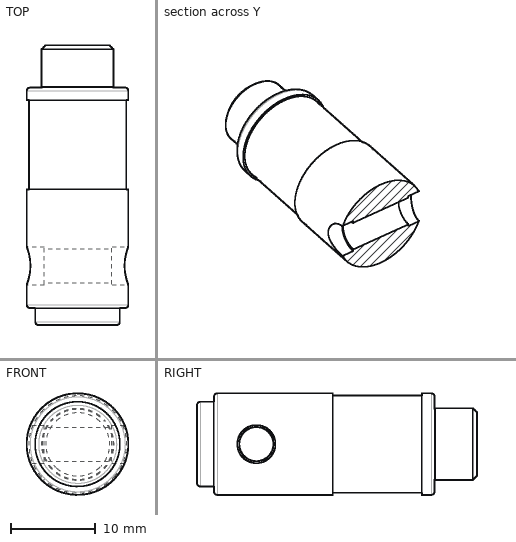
import cadquery as cq

land_diameter = 12.0
waist_diameter = 11.5
nose_diameter = 10.0
pin_diameter = 8.5

nose_length = 2.0
land_length = 14.0
waist_length = 10.5
flange_length = 1.5
pin_length = 5.0

rim_radius = 0.4
pin_tip_chamfer = 0.5
pin_seat_chamfer = 0.1

cross_hole_diameter = 4.0
counterbore_diameter = 4.5
counterbore_floor_offset = 4.0
cross_hole_setback = 5.0

land_start = nose_length
land_end = land_start + land_length
waist_end = land_end + waist_length
holder_end = waist_end + flange_length
pin_end = holder_end + pin_length
cross_hole_y = land_start + cross_hole_setback


def cylinder_y(diameter, start, end):
    """Solid cylinder on the Y axis between two stations."""
    return cq.Workplane("XZ", origin=(0, start, 0)).circle(diameter / 2).extrude(start - end)


def cross_cutter(diameter, start, end):
    """Cylinder parallel to X, on the cross hole axis, between two X positions."""
    return (
        cq.Workplane("YZ", origin=(start, cross_hole_y, 0))
        .circle(diameter / 2)
        .extrude(end - start)
    )


def make_holder():
    """Stepped holder with rounded rims and a cross hole counterbored from both sides."""
    nose = cylinder_y(nose_diameter, 0, land_start).faces("<Y").edges().fillet(rim_radius)
    land = cylinder_y(land_diameter, land_start, land_end).faces("<Y").edges().fillet(rim_radius)
    waist = cylinder_y(waist_diameter, land_end, waist_end)
    flange = cylinder_y(land_diameter, waist_end, holder_end).faces(">Y").edges().fillet(rim_radius)
    holder = nose.union(land).union(waist).union(flange)

    holder = holder.cut(cross_cutter(cross_hole_diameter, -land_diameter, land_diameter))
    for side in (-1, 1):
        floor = side * counterbore_floor_offset
        holder = holder.cut(cross_cutter(counterbore_diameter, floor, side * land_diameter))
    return holder


def make_pin():
    """Round pin with a wide chamfer at its tip and a fine one where it sits on the holder."""
    pin = cylinder_y(pin_diameter, holder_end, pin_end)
    pin = pin.faces(">Y").edges().chamfer(pin_tip_chamfer)
    return pin.faces("<Y").edges().chamfer(pin_seat_chamfer)


holder = make_holder()
pin = make_pin()
result = cq.Compound.makeCompound([holder.val(), pin.val()])